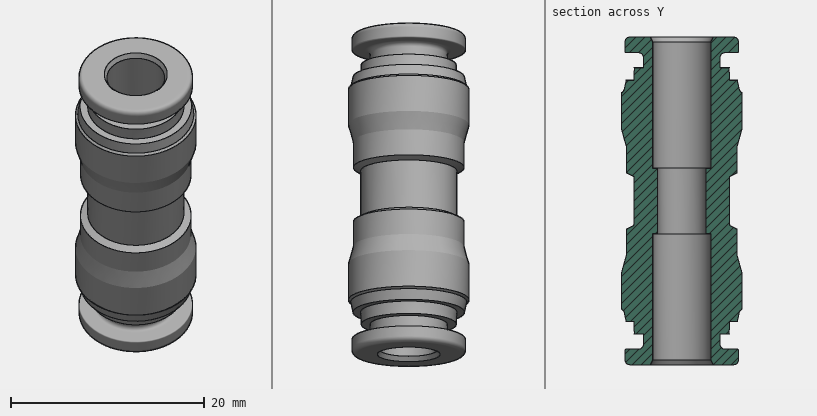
import cadquery as cq

length = 34.0
half_length = length / 2

flange_radius = 11.8 / 2
neck_radius = 8.0 / 2
collar_radius = 10.0 / 2
body_radius = 12.5 / 2
sleeve_radius = 11.5 / 2
waist_radius = collar_radius
shoulder_top_radius = 5.78
shoulder_base_radius = 6.02
collar_draft = 0.07

flange_depth = 1.65
neck_depth = 3.2
collar_depth = 4.5
shoulder_depth = 5.58
body_start_depth = 5.78
body_end_depth = 9.6
sleeve_start_depth = 11.42
sleeve_end_depth = 14.1
waist_start_depth = 14.5

flange_round = 0.5
flange_lower_round = 0.15
neck_fillet = 0.48

socket_radius = 6.0 / 2
socket_depth = 13.6
bore_radius = 5.0 / 2
mouth_chamfer_width = 0.27
mouth_chamfer_depth = 0.5


def release_flange():
    """Rounded end flange with its filleted neck."""
    flange_base = half_length - flange_depth
    neck_base = half_length - neck_depth
    return (
        cq.Workplane("XZ")
        .moveTo(0, neck_base)
        .lineTo(neck_radius, neck_base)
        .lineTo(neck_radius, flange_base - neck_fillet)
        .tangentArcPoint((neck_fillet, neck_fillet))
        .lineTo(flange_radius - flange_lower_round, flange_base)
        .tangentArcPoint((flange_lower_round, flange_lower_round))
        .lineTo(flange_radius, half_length - flange_round)
        .tangentArcPoint((-flange_round, flange_round))
        .lineTo(0, half_length)
        .close()
        .revolve(360, (0, 0), (0, 1))
    )


def symmetric_turning(half_profile):
    """Revolve (radius, depth) points together with their mirror image about the middle plane."""
    upper = [(radius, half_length - depth) for radius, depth in half_profile]
    lower = [(radius, -height) for radius, height in reversed(upper)]
    return cq.Workplane("XZ").polyline(upper + lower).close().revolve(360, (0, 0), (0, 1))


def main_body():
    """Stepped body from collar to collar, narrowing to the waist."""
    return symmetric_turning([
        (0, neck_depth),
        (collar_radius - collar_draft, neck_depth),
        (collar_radius, collar_depth),
        (shoulder_top_radius, collar_depth),
        (shoulder_base_radius, shoulder_depth),
        (body_radius, body_start_depth),
        (body_radius, body_end_depth),
        (sleeve_radius, sleeve_start_depth),
        (sleeve_radius, sleeve_end_depth),
        (waist_radius, waist_start_depth),
    ])


def bore():
    """Chamfered tube sockets stepping down to the through bore."""
    return symmetric_turning([
        (0, 0),
        (socket_radius + mouth_chamfer_width, 0),
        (socket_radius, mouth_chamfer_depth),
        (socket_radius, socket_depth),
        (bore_radius, socket_depth),
    ])


upper_flange = release_flange()
lower_flange = upper_flange.mirror("XY")
result = main_body().union(upper_flange).union(lower_flange).cut(bore())